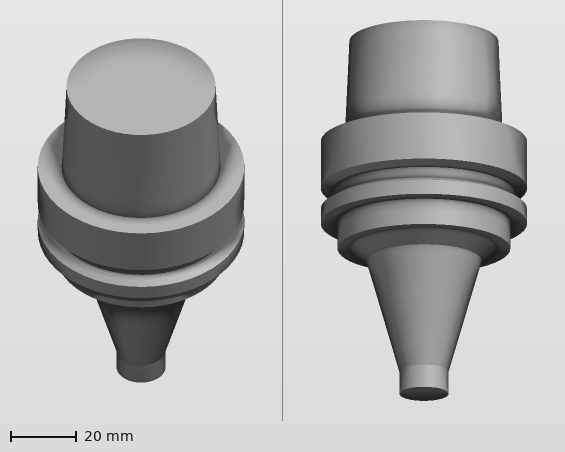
import cadquery as cq

total_height = 112.0

nose_diameter = 15.0
cone_top_diameter = 35.2
bevel_top_diameter = 45.0
hub_diameter = 52.6
groove_floor_diameter = 55.0
groove_mouth_diameter = 57.8
flange_diameter = 63.0
shank_base_diameter = 48.4
shank_top_diameter = 45.5

nose_length = 7.0
cone_length = 35.3
bevel_length = 3.8
hub_length = 8.1
lower_rim_length = 4.5
groove_chamfer_length = 1.5
groove_floor_length = 3.8
shank_length = 31.9

cone_bottom = nose_length
cone_top = cone_bottom + cone_length
hub_bottom = cone_top + bevel_length
flange_bottom = hub_bottom + hub_length
lower_rim_top = flange_bottom + lower_rim_length
groove_bottom = lower_rim_top + groove_chamfer_length
groove_top = groove_bottom + groove_floor_length
upper_rim_bottom = groove_top + groove_chamfer_length
flange_top = total_height - shank_length

outer_profile = [
    (nose_diameter, 0),
    (nose_diameter, cone_bottom),
    (cone_top_diameter, cone_top),
    (bevel_top_diameter, hub_bottom),
    (hub_diameter, hub_bottom),
    (hub_diameter, flange_bottom),
    (flange_diameter, flange_bottom),
    (flange_diameter, lower_rim_top),
    (groove_mouth_diameter, groove_bottom),
    (groove_floor_diameter, groove_bottom),
    (groove_floor_diameter, groove_top),
    (groove_mouth_diameter, groove_top),
    (flange_diameter, upper_rim_bottom),
    (flange_diameter, flange_top),
    (shank_base_diameter, flange_top),
    (shank_top_diameter, total_height),
]

half_section = [(0, 0)]
half_section += [(diameter / 2, height) for diameter, height in outer_profile]
half_section += [(0, total_height)]

result = cq.Workplane("XZ").polyline(half_section).close().revolve(360, (0, 0), (0, 1))